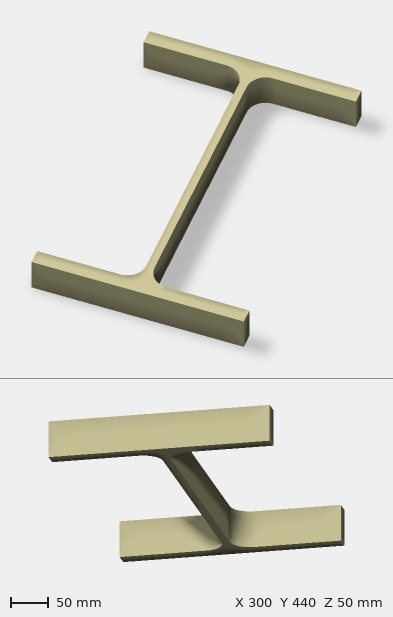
import cadquery as cq

flange_width = 300.0
section_depth = 440.0
flange_thickness = 21.0
web_thickness = 11.5
root_radius = 27.0
beam_length = 50.0

flange_offset = (section_depth - flange_thickness) / 2


def make_flange(side):
    """Flange plate at the +Y (side = 1) or -Y (side = -1) end of the web."""
    return (
        cq.Workplane("XY")
        .center(0, side * flange_offset)
        .rect(flange_width, flange_thickness)
        .extrude(beam_length)
    )


def make_web():
    """Web plate running through the full section depth."""
    return cq.Workplane("XY").rect(web_thickness, section_depth).extrude(beam_length)


def round_roots(beam):
    """Fillet the four inside corners where the web meets the flanges."""
    root_zone = cq.selectors.BoxSelector(
        (-web_thickness, -section_depth / 2 + flange_thickness / 2, 0),
        (web_thickness, section_depth / 2 - flange_thickness / 2, beam_length),
    )
    return beam.edges("|Z").edges(root_zone).fillet(root_radius)


beam = make_web()
for side in (-1, 1):
    beam = beam.union(make_flange(side))

result = round_roots(beam.clean())